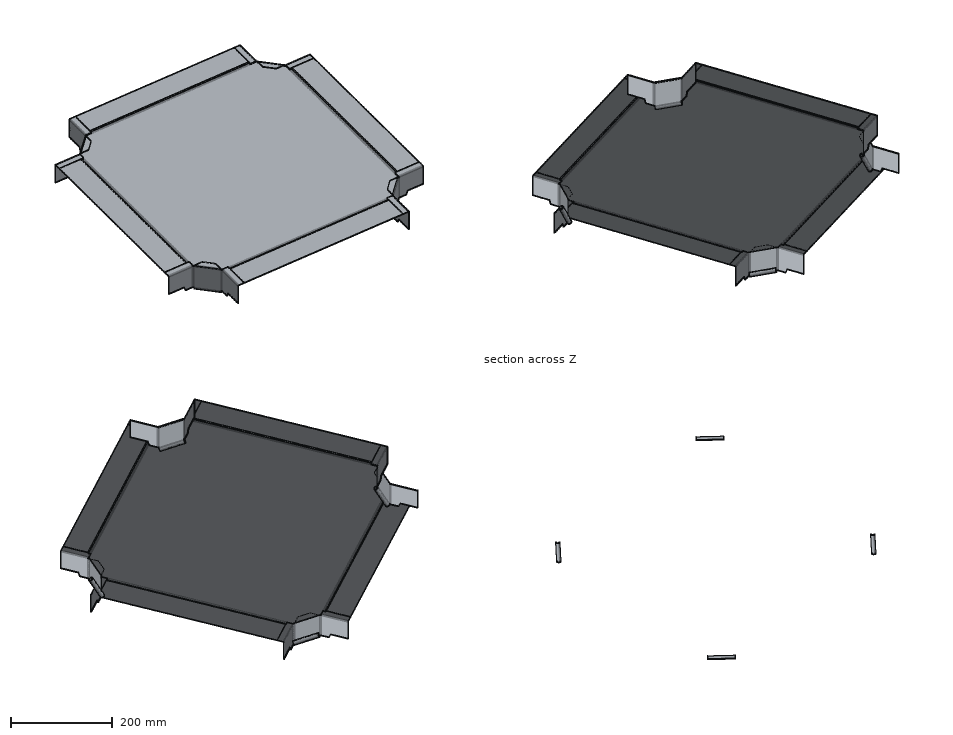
import cadquery as cq
import math

span = 600.0
height = 63.0
sheet = 2.0

arm_half_width = 202.0
body_half_width = 242.5
flange_width = 15.0

fold_radius = 2.5
upright_radius = 3.0

gutter_start = 248.5
gutter_drop = 2.5
gutter_angle = 54.0
gutter_rise_start = 244.0

wing_depth = 47.5
root_depth = 56.5
slope_outer = 263.5
slope_inner = 260.5
curl_diameter = 9.5

corners = 4
tip = span / 2
arm_sheet_half_width = arm_half_width - flange_width
centre_level = -sheet
upright_trim = upright_radius * math.tan(math.pi / 8)
wing_root = body_half_width + upright_trim
diagonal_reach = (body_half_width + arm_half_width) / math.sqrt(2)
diagonal_half_length = (body_half_width - arm_half_width) / math.sqrt(2) - upright_trim
curl_radius = curl_diameter / 2
curl_level = curl_radius - height

diagonal_plane = cq.Plane(origin=(0, 0, 0), xDir=(1, 1, 0), normal=(1, -1, 0))


def quarter_point(centre_x, centre_z, radius, x_side, z_side):
    """Middle of a quarter arc, on the side of its centre given by the two signs."""
    offset = radius * math.sqrt(0.5)
    return (centre_x + x_side * offset, centre_z + z_side * offset)


def fold_section(plane, reach):
    """Flange and its bend; the outer face of the wall below lies at -reach."""
    bend_x = -reach + fold_radius
    bend_z = -fold_radius
    return (
        cq.Workplane(plane)
        .moveTo(-reach + flange_width, 0)
        .lineTo(bend_x, 0)
        .threePointArc(quarter_point(bend_x, bend_z, fold_radius, -1, 1), (-reach, bend_z))
        .lineTo(-reach + sheet, bend_z)
        .threePointArc(quarter_point(bend_x, bend_z, fold_radius - sheet, -1, 1), (bend_x, -sheet))
        .lineTo(-reach + flange_width, -sheet)
        .close()
    )


def wall_section(plane, reach, bottom):
    """Cut through the wall under a fold; its outer face lies at -reach."""
    return (
        cq.Workplane(plane)
        .moveTo(-reach, bottom)
        .lineTo(-reach + sheet, bottom)
        .lineTo(-reach + sheet, -fold_radius)
        .lineTo(-reach, -fold_radius)
        .close()
    )


def make_wing():
    """Flange and wall along the -Y edge of the arm that points to -X."""
    flange = fold_section("YZ", arm_half_width).extrude(tip - body_half_width)
    wall = wall_section("YZ", arm_half_width, -root_depth).extrude(tip - wing_root)
    shallow_end = (
        cq.Workplane("XZ", origin=(0, -arm_half_width, 0))
        .polyline([
            (-tip, -wing_depth),
            (-slope_outer, -wing_depth),
            (-slope_inner, -root_depth),
            (-tip, -root_depth),
        ])
        .close()
        .extrude(-sheet)
    )
    return flange.union(wall).translate((-tip, 0, 0)).cut(shallow_end)


def make_upright_bend():
    """Bend that turns the wing wall by 45 degrees into the diagonal wall."""
    axis = -arm_half_width - upright_radius
    return (
        wall_section("YZ", arm_half_width, -root_depth)
        .revolve(45, (axis, 0, 0), (axis, -1, 0))
        .translate((-wing_root, 0, 0))
    )


def make_diagonal_flange():
    """Flange lying on the plate, with ends that run along X and Y."""
    ends = (
        cq.Workplane("XY")
        .moveTo(-body_half_width, -arm_half_width)
        .lineTo(-arm_half_width, -body_half_width)
        .lineTo(-arm_half_width, -arm_half_width)
        .close()
        .extrude(-height)
    )
    flange = fold_section(diagonal_plane, diagonal_reach)
    return flange.extrude(diagonal_half_length, both=True).intersect(ends)


def make_curl():
    """Lower edge of the diagonal wall, rolled three quarters of a turn inwards."""
    centre = curl_radius - diagonal_reach
    bore_radius = curl_radius - sheet
    return (
        cq.Workplane(diagonal_plane)
        .moveTo(centre - curl_radius, curl_level)
        .threePointArc(
            quarter_point(centre, curl_level, curl_radius, 1, -1),
            (centre, curl_level + curl_radius),
        )
        .lineTo(centre, curl_level + bore_radius)
        .threePointArc(
            quarter_point(centre, curl_level, bore_radius, 1, -1),
            (centre - bore_radius, curl_level),
        )
        .close()
        .extrude(diagonal_half_length, both=True)
    )


def make_bracket():
    """Corner bracket at -X, -Y."""
    side = make_wing().union(make_upright_bend())
    wall = wall_section(diagonal_plane, diagonal_reach, curl_level)
    diagonal_wall = wall.extrude(diagonal_half_length, both=True)
    return (
        diagonal_wall.union(make_diagonal_flange())
        .union(make_curl())
        .union(side)
        .union(side.mirror(cq.Vector(1, -1, 0)))
    )


def make_centre():
    """Sunken eight-sided middle of the plate, clear of the bends of the diagonal flanges."""
    bevel = body_half_width - arm_half_width + fold_radius * math.sqrt(2)
    return (
        cq.Workplane("XY", origin=(0, 0, centre_level))
        .rect(2 * body_half_width, 2 * body_half_width)
        .extrude(-sheet)
        .edges("|Z")
        .chamfer(bevel)
    )


def make_arm():
    """Arm sheet that points to -X, with the gutter down to the centre."""
    slope_end = gutter_start - gutter_drop / math.tan(math.radians(gutter_angle))
    underside_shift = sheet * math.tan(math.radians(gutter_angle / 2))
    return (
        cq.Workplane("XZ")
        .polyline([
            (-tip, 0),
            (-gutter_start, 0),
            (-slope_end, -gutter_drop),
            (-gutter_rise_start, -gutter_drop),
            (-body_half_width, centre_level),
            (-body_half_width, centre_level - sheet),
            (-gutter_rise_start, -gutter_drop - sheet),
            (-slope_end - underside_shift, -gutter_drop - sheet),
            (-gutter_start - underside_shift, -sheet),
            (-tip, -sheet),
        ])
        .close()
        .extrude(arm_sheet_half_width, both=True)
    )


def turned(body, number):
    """Copy of a body turned by a number of quarter turns about Z."""
    return body.rotate((0, 0, 0), (0, 0, 1), number * 360 / corners)


plate = make_centre()
for number in range(corners):
    plate = plate.union(turned(make_arm(), number))

bracket = make_bracket().solids()
brackets = [turned(bracket, number).val() for number in range(corners)]

result = cq.Compound.makeCompound([plate.val(), *brackets])